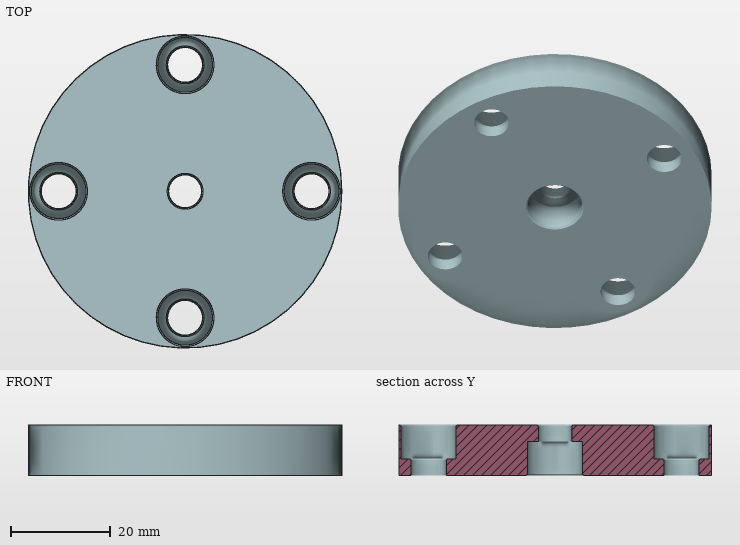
import cadquery as cq

disc_diameter = 63.0
disc_thickness = 10.2

edge_chamfer = 0.3

counterbore_diameter = 11.0
counterbore_depth = 6.8

center_hole_diameter = 6.6

screw_count = 4
screw_circle_diameter = 50.8
screw_hole_diameter = 7.0


def chamfered_bore(diameter, mouth_z, depth):
    """Cutter for a bore running down from mouth_z, with a chamfered mouth."""
    radius = diameter / 2
    profile = (
        cq.Workplane("XZ")
        .moveTo(0, mouth_z)
        .lineTo(radius + edge_chamfer, mouth_z)
        .lineTo(radius, mouth_z - edge_chamfer)
        .lineTo(radius, mouth_z - depth)
        .lineTo(0, mouth_z - depth)
        .close()
    )
    return profile.revolve(360, (0, 0, 0), (0, 1, 0))


def top_counterbore():
    """Cutter for a counterbore in the top face, centred on the Z axis."""
    return chamfered_bore(counterbore_diameter, disc_thickness, counterbore_depth)


def center_hole():
    """Cutter for the central hole: a through bore with its counterbore in the bottom face."""
    through_bore = chamfered_bore(center_hole_diameter, disc_thickness, disc_thickness)
    bottom_counterbore = top_counterbore().mirror("XY", (0, 0, disc_thickness / 2))
    return through_bore.union(bottom_counterbore)


def screw_hole():
    """Cutter for one screw hole with its counterbore in the top face, centred on the Z axis."""
    counterbore_floor = disc_thickness - counterbore_depth
    clearance_bore = chamfered_bore(screw_hole_diameter, counterbore_floor, counterbore_floor)
    return top_counterbore().union(clearance_bore)


disc = cq.Workplane("XY").circle(disc_diameter / 2).extrude(disc_thickness)

result = disc.cut(center_hole())

for index in range(screw_count):
    placed_hole = (
        screw_hole()
        .translate((screw_circle_diameter / 2, 0, 0))
        .rotate((0, 0, 0), (0, 0, 1), index * 360 / screw_count)
    )
    result = result.cut(placed_hole)